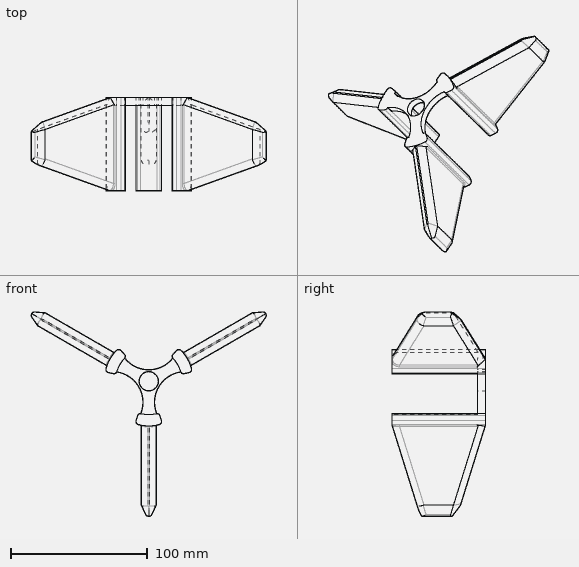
import cadquery as cq
import math

ARM_COUNT = 3
LENGTH = 68.5

HOLE_DIAMETER = 14.0
PLATE_THICKNESS = 6.0
SCALLOP_RADIUS = 22.4
SCALLOP_NEAREST = 8.5

PAD_INNER_RADIUS = 24.5
PAD_OUTER_RADIUS = 32.7
PAD_HALF_ANGLE = 18.0
PAD_INNER_FILLET = 1.9
PAD_OUTER_FILLET = 2.4

FIN_THICKNESS = 11.0
FIN_TIP = 99.0
FIN_TIP_RADIUS = 2.5
TAPER_START = 90.8
ROOT_WIDTH = 68.2
TIP_WIDTH = 26.9
EDGE_BREAK = 5.0
ROOT_FILLET = 1.0

ROOT_OVERLAP = 1.7
OVERSIZE = 8.6

half_thickness = FIN_THICKNESS / 2
tip_center = FIN_TIP - FIN_TIP_RADIUS
taper_run = tip_center - TAPER_START
taper_angle = math.atan2(half_thickness, taper_run) - math.asin(
    FIN_TIP_RADIUS / math.hypot(half_thickness, taper_run)
)


def prism_along_y(outline, half_length=LENGTH / 2):
    """Extrude a closed XZ outline to both sides of the middle plane."""
    return outline.extrude(half_length, both=True)


def about_axis(body, index):
    """Turn a body to the given arm position."""
    return body.rotate((0, 0, 0), (0, 1, 0), index * 360 / ARM_COUNT)


def make_pad():
    """Ring sector with all four long edges rounded."""
    sin_half = math.sin(math.radians(PAD_HALF_ANGLE))
    cos_half = math.cos(math.radians(PAD_HALF_ANGLE))
    inner_x = PAD_INNER_RADIUS * sin_half
    inner_z = -PAD_INNER_RADIUS * cos_half
    outer_x = PAD_OUTER_RADIUS * sin_half
    outer_z = -PAD_OUTER_RADIUS * cos_half
    pad = prism_along_y(
        cq.Workplane("XZ")
        .moveTo(-inner_x, inner_z)
        .threePointArc((0, -PAD_INNER_RADIUS), (inner_x, inner_z))
        .lineTo(outer_x, outer_z)
        .threePointArc((0, -PAD_OUTER_RADIUS), (-outer_x, outer_z))
        .close()
    )
    pad = pad.edges("|Y").edges(">Z").fillet(PAD_INNER_FILLET)
    return pad.edges("|Y").edges("<Z").fillet(PAD_OUTER_FILLET)


def fin_planform(depth):
    """Tapering fin outline seen along X, extruded to +-depth."""
    width_slope = (ROOT_WIDTH - TIP_WIDTH) / 2 / (FIN_TIP - PAD_OUTER_RADIUS)
    top = PAD_OUTER_RADIUS - ROOT_OVERLAP
    bottom = FIN_TIP + OVERSIZE
    top_half = ROOT_WIDTH / 2 + width_slope * ROOT_OVERLAP
    bottom_half = TIP_WIDTH / 2 - width_slope * (bottom - FIN_TIP)
    outline = [(-top_half, -top), (top_half, -top), (bottom_half, -bottom), (-bottom_half, -bottom)]
    return cq.Workplane("YZ").polyline(outline).close().extrude(depth, both=True)


def break_long_edges(body, face_selector):
    """Chamfer the +Y edge and fillet the -Y edge of the selected fin faces."""
    body = body.faces(face_selector).edges(">Y").chamfer(EDGE_BREAK)
    return body.faces(face_selector).edges("<Y").fillet(EDGE_BREAK)


def make_flank():
    """Fin planform bounded by the tapered +X flank only, with its edges broken."""
    slope = math.tan(taper_angle)
    top_x = half_thickness + slope * TAPER_START
    bottom = FIN_TIP + OVERSIZE
    bottom_x = half_thickness - slope * (bottom - TAPER_START)
    outline = [(-bottom, 0), (top_x, 0), (bottom_x, -bottom), (-bottom, -bottom)]
    side = prism_along_y(cq.Workplane("XZ").polyline(outline).close(), half_length=LENGTH)
    return break_long_edges(fin_planform(FIN_TIP).intersect(side), ">X")


def make_fin():
    """Tapered fin with a thinned, rounded tip."""
    fin = break_long_edges(break_long_edges(fin_planform(half_thickness), ">X"), "<X")
    flank = make_flank()
    fin = fin.intersect(flank).intersect(flank.mirror("YZ"))
    round_x = FIN_TIP_RADIUS * math.cos(taper_angle)
    round_z = -tip_center - FIN_TIP_RADIUS * math.sin(taper_angle)
    tip_profile = prism_along_y(
        cq.Workplane("XZ")
        .moveTo(-half_thickness, 0)
        .lineTo(half_thickness, 0)
        .lineTo(half_thickness, -TAPER_START)
        .lineTo(round_x, round_z)
        .threePointArc((0, -FIN_TIP), (-round_x, round_z))
        .lineTo(-half_thickness, -TAPER_START)
        .close()
    )
    return fin.intersect(tip_profile)


def make_plate():
    """Flat hub at the +Y end joining the three pads."""
    plate = cq.Workplane("XZ", origin=(0, LENGTH / 2, 0)).circle(PAD_INNER_RADIUS).extrude(PLATE_THICKNESS)
    hole = prism_along_y(cq.Workplane("XZ").circle(HOLE_DIAMETER / 2))
    scallop = prism_along_y(
        cq.Workplane("XZ").center(0, SCALLOP_NEAREST + SCALLOP_RADIUS).circle(SCALLOP_RADIUS)
    )
    plate = plate.cut(hole)
    for index in range(ARM_COUNT):
        plate = plate.cut(about_axis(scallop, index))
    return plate


def make_arm():
    """Pad and fin, filleted where the flat fin faces leave the pad."""
    arm = make_pad().union(make_fin())
    root_depth = math.sqrt(PAD_OUTER_RADIUS**2 - half_thickness**2)
    margin = ROOT_FILLET / 2
    root_edges = cq.selectors.BoxSelector(
        (-half_thickness - margin, -LENGTH, -root_depth - margin),
        (half_thickness + margin, LENGTH, -root_depth + margin),
    )
    return arm.edges("|Y").edges(root_edges).fillet(ROOT_FILLET)


arm = make_arm()
result = make_plate()
for arm_index in range(ARM_COUNT):
    result = result.union(about_axis(arm, arm_index))